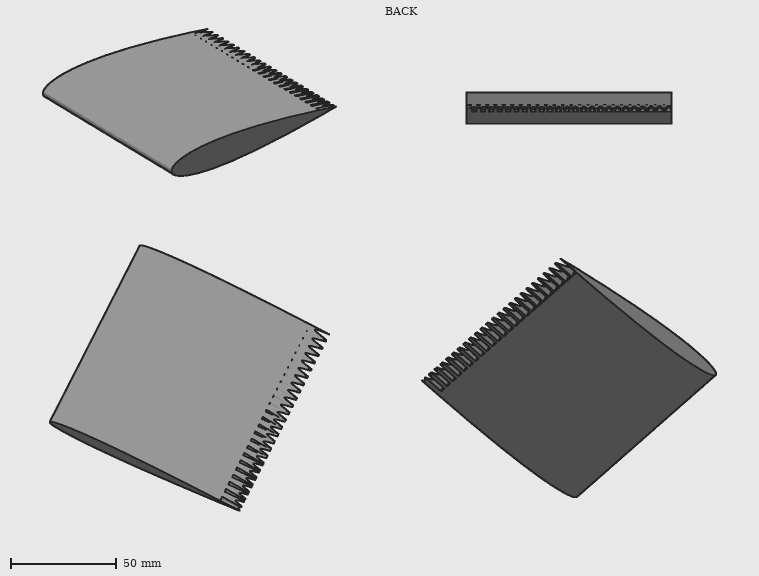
import cadquery as cq
import math

SPAN = 97.4
CHORD = 100.3
THICKNESS = 15.0
NOSE_STEPS = 20

TAIL_LENGTH = 10.2
TAIL_START = CHORD - TAIL_LENGTH

TOOTH_INTERVALS = 24
FIRST_TOOTH_X = -0.25
LAST_TOOTH_X = 95.6
TOOTH_PITCH = (LAST_TOOTH_X - FIRST_TOOTH_X) / TOOTH_INTERVALS
WAVE_START_X = 0.1
WAVE_END_X = SPAN + 0.5

GAP_WAVE_HEIGHT = 2.3
GAP_TROUGH_Z = -0.13
GAP_DROP = 0.95

GROOVE_WAVE_HEIGHT = 1.0
GROOVE_TROUGH_Z = 0.23
GROOVE_DROP = 0.33
GROOVE_FLATTENING = 0.022

CUT_REACH = THICKNESS
CUT_OVERRUN = 1.0


def half_thickness(y):
    """Half thickness of a symmetric NACA four-digit airfoil at chord position y."""
    t = y / CHORD
    shape = 0.2969 * math.sqrt(t) - 0.1260 * t - 0.3516 * t**2 + 0.2843 * t**3 - 0.1036 * t**4
    return 5 * THICKNESS * shape


def make_wing():
    """Airfoil with a straight-sided tail, extruded along the span."""
    upper = []
    for i in range(NOSE_STEPS + 1):
        y = TAIL_START * (i / NOSE_STEPS) ** 2
        upper.append((y, half_thickness(y)))
    lower = [(y, -z) for y, z in reversed(upper)]
    outline = lower + upper[1:]
    return cq.Workplane("YZ").spline(outline).lineTo(CHORD, 0).close().extrude(SPAN)


def make_wave_cutter(trough_z, drop, wave_height, slope, flat_z):
    """Cutter between a wave across the span and a flat side at height flat_z.

    The wave has a trough at each tooth and a crest between teeth. It sinks by drop
    over the span and changes height by slope per unit of length towards the nose.
    """
    last_point = 2 * TOOTH_INTERVALS + 1
    wave = []
    for i in range(last_point + 1):
        x = FIRST_TOOTH_X + i * TOOTH_PITCH / 2
        trough = trough_z - drop * x / SPAN - slope * CUT_OVERRUN
        z = trough + wave_height * (i % 2)
        if i == 0:
            x = WAVE_START_X
        elif i == last_point:
            x = WAVE_END_X
        wave.append((x, z))
    profile = (
        cq.Workplane("XZ", origin=(0, CHORD + CUT_OVERRUN, 0))
        .spline(wave)
        .lineTo(WAVE_END_X, flat_z)
        .lineTo(WAVE_START_X, flat_z)
        .close()
    )
    length = TAIL_LENGTH + CUT_OVERRUN
    sweep = cq.Vector(0, -length, slope * length)
    return cq.Workplane(cq.Solid.extrudeLinear(profile.val(), [], sweep))


tail_side_slope = half_thickness(TAIL_START) / TAIL_LENGTH
gap_cutter = make_wave_cutter(GAP_TROUGH_Z, GAP_DROP, GAP_WAVE_HEIGHT, -tail_side_slope, -CUT_REACH)
groove_slope = tail_side_slope - GROOVE_FLATTENING
groove_cutter = make_wave_cutter(GROOVE_TROUGH_Z, GROOVE_DROP, GROOVE_WAVE_HEIGHT, groove_slope, CUT_REACH)

result = make_wing().cut(gap_cutter).cut(groove_cutter)